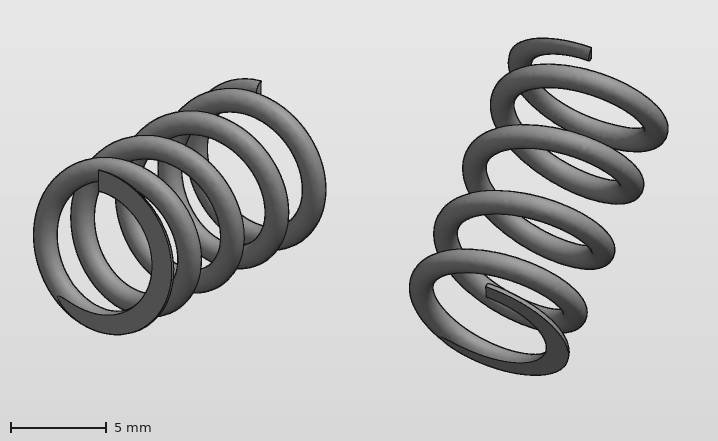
import cadquery as cq
import math

length = 15.0
outer_diameter = 9.25
wire_diameter = 1.25
half_turns = 2.5

middle_pitch = 4.14
closing_rate = 0.09
closing_power = 3.7

points_per_turn = 16

coil_radius = (outer_diameter - wire_diameter) / 2


def axial_position(turns):
    """Y of the wire centre, a signed number of turns from the middle."""
    distance = abs(turns)
    advance = middle_pitch * distance - closing_rate * distance**closing_power
    return math.copysign(advance, turns)


def coil_point(turns):
    """Wire centre; the middle of the spring lies at the bottom of a coil."""
    angle = 2 * math.pi * turns
    return cq.Vector(
        -coil_radius * math.sin(angle),
        axial_position(turns),
        -coil_radius * math.cos(angle),
    )


def make_wire_body():
    """Round wire swept along the coil, both ends cut square at the top."""
    steps = round(half_turns * points_per_turn)
    points = [coil_point(i / points_per_turn) for i in range(-steps, steps + 1)]
    path = cq.Workplane("XY").add(cq.Wire.assembleEdges([cq.Edge.makeSpline(points)]))
    section_plane = cq.Plane(origin=points[0].toTuple(), normal=(1, 0, 0))
    section = cq.Workplane(section_plane).circle(wire_diameter / 2)
    return section.sweep(path, isFrenet=True)


def grind_ends(body):
    """Keep only the material between the two flat end planes."""
    width = outer_diameter + wire_diameter
    return body.intersect(cq.Workplane("XY").box(width, length, width))


result = grind_ends(make_wire_body())